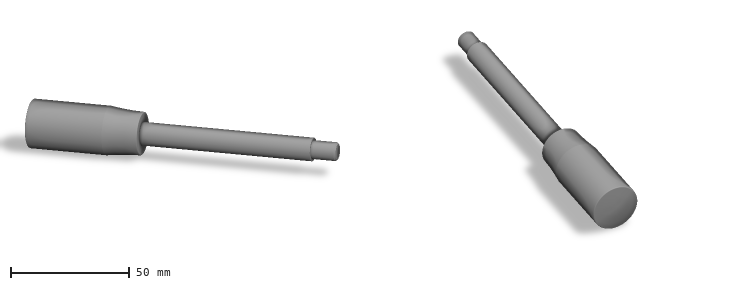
import cadquery as cq

total_length = 135.9
dome_height = 0.7
rim_round = 0.4
grip_straight_end = 34.7
grip_end = 49.7
shoulder_x = 125.0

grip_radius = 10.53
grip_neck_radius = 9.2
rod_radius = 5.0
tip_radius = 4.01

tip_chamfer = 0.7
neck_round = 0.4
flare_sag = 0.3

start_x = -total_length / 2


def grip():
    """Domed cylinder with a slightly hollow taper towards the rod."""
    rim_x = dome_height + rim_round
    diagonal = 0.5 ** 0.5
    rim_middle = (rim_x - rim_round * diagonal, grip_radius - rim_round * (1 - diagonal))
    dome_radius = grip_radius - rim_round
    dome_middle = (dome_height / 4, dome_radius / 2)
    neck_x = grip_end - neck_round
    taper_middle = (
        (grip_straight_end + neck_x) / 2,
        (grip_radius + grip_neck_radius) / 2 - flare_sag,
    )
    neck_middle = (neck_x + neck_round * diagonal, grip_neck_radius - neck_round * (1 - diagonal))
    profile = (
        cq.Workplane("XY")
        .moveTo(0, 0)
        .threePointArc(dome_middle, (dome_height, dome_radius))
        .threePointArc(rim_middle, (rim_x, grip_radius))
        .lineTo(grip_straight_end, grip_radius)
        .threePointArc(taper_middle, (neck_x, grip_neck_radius))
        .threePointArc(neck_middle, (grip_end, grip_neck_radius - neck_round))
        .lineTo(grip_end, 0)
        .close()
    )
    return profile.revolve(360, (0, 0, 0), (1, 0, 0))


def rod():
    """Plain rod ending in a thinner, chamfered tip."""
    shank = cq.Workplane("YZ", origin=(grip_end, 0, 0)).circle(rod_radius).extrude(shoulder_x - grip_end)
    tip = cq.Workplane("YZ", origin=(shoulder_x, 0, 0)).circle(tip_radius).extrude(total_length - shoulder_x)
    tip = tip.faces(">X").edges().chamfer(tip_chamfer)
    return shank.union(tip)


result = grip().union(rod()).translate((start_x, 0, 0))